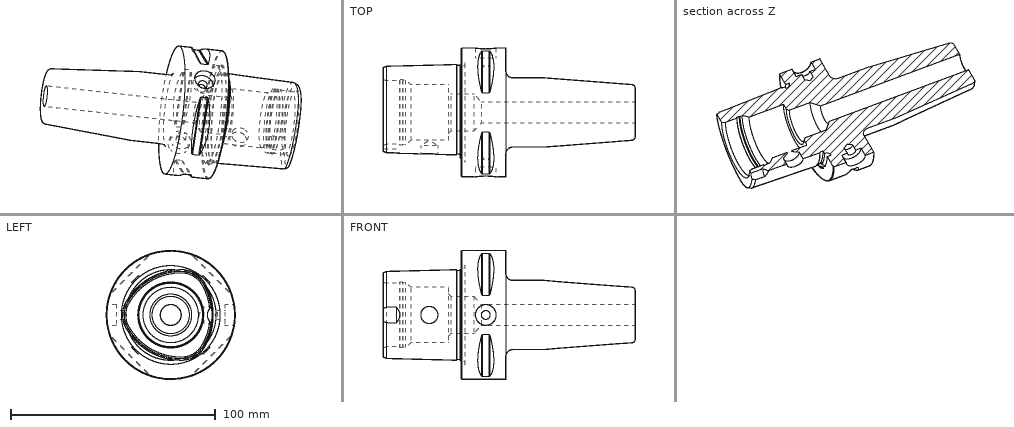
import cadquery as cq
import math


total_length = 123.0
shank_end = 35.7
neck_end = 37.5
flange_start = 38.0
flange_width = 21.9
flange_end = flange_start + flange_width
nose_cone_start = 78.4

shank_half_width = 22.1
lobe_offset = 10.2
shank_slope = 1 / 40
neck_inset = 0.4
tip_chamfer_length = 1.6
tip_chamfer_depth = 0.7
collar_radius = 22.1

flange_radius = 31.5
flange_chamfer = 0.4
recess_radius = 24.1
recess_depth = recess_radius - collar_radius
relief_distance = 24.7
relief_width = 4.7
relief_depth = 0.5
gripper_x = 50.0
slot_floor_distance = 27.9
slot_floor_width = 3.1
slot_bevel_width = 0.5
slot_bevel_height = 0.2
slot_wall_angle = 30.0
flange_root_fillet = 3.2
quarter_angles = (45, 135, 225, 315)

nose_radius = 17.0
nose_tip_radius = 13.5
nose_tip_fillet = 1.8

side_hole_radius = 5.0
side_hole_depth = 4.9
side_pilot_radius = 2.15
side_pilot_depth = 3.7
shank_hole_x = 22.5
shank_hole_radius = 4.2
shank_hole_bottom = 16.1
tip_notch_radius = 4.8
tip_notch_distance = 22.6
tip_notch_length = 6.4
tip_notch_half_angle = 50.0
drill_half_angle = 59.0

bore_profile = [
    (0.0, 16.1),
    (1.7, 15.5),
    (7.9, 15.5),
    (8.1, 16.0),
    (9.3, 16.0),
    (9.7, 15.7),
    (10.8, 15.7),
    (11.6, 15.4),
    (13.5, 13.5),
    (32.0, 13.5),
    (32.0, 10.2),
    (33.1, 9.1),
    (44.3, 9.1),
    (48.0, 5.0),
    (total_length, 5.0),
]


def revolve_about_x(profile):
    """Solid of revolution about X from a chain of (x, radius) points."""
    points = [(profile[0][0], 0)] + profile + [(profile[-1][0], 0)]
    return cq.Workplane("XY").polyline(points).close().revolve(360, (0, 0, 0), (1, 0, 0))


def polar(radius, angle):
    """Point in the YZ plane, with the angle measured from +Y toward +Z."""
    return radius * math.cos(math.radians(angle)), radius * math.sin(math.radians(angle))


def lobed_outline(x, half_width):
    """Constant-width outline of six tangent arcs, with lobes at 0, 120 and 240 degrees."""
    centre_spacing = lobe_offset * math.sqrt(3)
    small_radius = half_width - centre_spacing / 2
    large_radius = half_width + centre_spacing / 2

    def on_arc(lobe_angle, radius, direction):
        centre_y, centre_z = polar(lobe_offset, lobe_angle)
        step_y, step_z = polar(radius, direction)
        return centre_y + step_y, centre_z + step_z

    outline = cq.Workplane("YZ", origin=(x, 0, 0)).moveTo(*on_arc(0, small_radius, -30))
    for lobe in (0, 120, 240):
        flat = lobe + 60
        outline = outline.threePointArc(
            on_arc(lobe, small_radius, lobe), on_arc(lobe, small_radius, lobe + 30)
        )
        outline = outline.threePointArc(
            on_arc(flat + 180, large_radius, flat), on_arc(flat + 180, large_radius, flat + 30)
        )
    return outline.close()


def lobed_prism(x_start, x_end, half_width_start, half_width_end):
    """Straight or tapered length of the three-lobed section."""
    start_outline = lobed_outline(x_start, half_width_start).val()
    end_outline = lobed_outline(x_end, half_width_end).val()
    return cq.Workplane(cq.Solid.makeLoft([start_outline, end_outline], True))


def drill(origin, direction, radius, depth, half_angle=drill_half_angle):
    """Round cutter with a conical drill point beyond its full-diameter depth."""
    point_length = radius / math.tan(math.radians(half_angle))
    start = cq.Vector(*origin)
    axis = cq.Vector(*direction)
    barrel = cq.Solid.makeCylinder(radius, depth, start, axis)
    point = cq.Solid.makeCone(radius, 0, point_length, start + axis * depth, axis)
    return cq.Workplane(barrel).union(cq.Workplane(point))


def make_shank():
    """Tapered three-lobed shank with a chamfered tip and a bevelled, inset neck."""
    chamfer_half_width = shank_half_width - shank_slope * (shank_end - tip_chamfer_length)
    tip = lobed_prism(0, tip_chamfer_length, chamfer_half_width - tip_chamfer_depth, chamfer_half_width)
    taper = lobed_prism(tip_chamfer_length, shank_end, chamfer_half_width, shank_half_width)
    neck_half_width = shank_half_width - neck_inset
    neck_start = shank_end + neck_inset
    bevel = lobed_prism(shank_end, neck_start, shank_half_width, neck_half_width)
    neck = lobed_prism(neck_start, neck_end, neck_half_width, neck_half_width)
    return tip.union(taper).union(bevel).union(neck)


def make_body():
    """Round parts behind the shank: collar, recessed flange, filleted root and tapered nose."""
    collar = revolve_about_x([(neck_end, collar_radius), (flange_end, collar_radius)])
    flange = revolve_about_x([
        (flange_start, flange_radius - flange_chamfer),
        (flange_start + flange_chamfer, flange_radius),
        (flange_end, flange_radius),
    ])
    nose = revolve_about_x([
        (flange_start, nose_radius),
        (nose_cone_start, nose_radius),
        (total_length, nose_tip_radius),
    ]).faces(">X").edges().fillet(nose_tip_fillet)
    root = (
        cq.Workplane("XY")
        .moveTo(flange_end, nose_radius)
        .lineTo(flange_end, nose_radius + flange_root_fillet)
        .radiusArc((flange_end + flange_root_fillet, nose_radius), -flange_root_fillet)
        .close()
        .revolve(360, (0, 0, 0), (1, 0, 0))
    )
    return collar.union(flange.cut(make_recess())).union(nose).union(root)


def make_recess():
    """Ring recess in the flange face, rounded up to the collar, with four flat reliefs."""
    floor_x = flange_start + recess_depth
    ring = (
        cq.Workplane("XY")
        .moveTo(flange_start, collar_radius)
        .radiusArc((floor_x, recess_radius), -recess_depth)
        .lineTo(flange_start, recess_radius)
        .close()
        .revolve(360, (0, 0, 0), (1, 0, 0))
    )
    relief_bottom = collar_radius + recess_depth / 2
    relief_height = relief_distance - relief_bottom
    for angle in quarter_angles:
        relief = (
            cq.Workplane("XY")
            .box(relief_depth, relief_height, relief_width, centered=(False, False, True))
            .translate((flange_start, relief_bottom, 0))
            .rotate((0, 0, 0), (1, 0, 0), angle)
        )
        ring = ring.union(relief)
    return ring


def make_gripper_slot(angle):
    """Straight slot across the flange with a flat floor, bevelled corners and sloping side walls."""
    wall_foot = slot_floor_distance + slot_bevel_height
    half_floor = slot_floor_width / 2
    half_foot = half_floor + slot_bevel_width
    half_mouth = half_foot + (flange_radius - wall_foot) * math.tan(math.radians(slot_wall_angle))
    half_section = [
        (half_floor, slot_floor_distance),
        (half_foot, wall_foot),
        (half_mouth, flange_radius),
    ]
    section = [(gripper_x + x, y) for x, y in half_section]
    section += [(gripper_x - x, y) for x, y in reversed(half_section)]
    return (
        cq.Workplane("XY")
        .polyline(section)
        .close()
        .extrude(flange_radius, both=True)
        .rotate((0, 0, 0), (1, 0, 0), angle)
    )


def make_side_hole(side):
    """Flat-bottomed hole at the +Y or -Y side of the flange, with a smaller drilled pilot."""
    inward = (0, -side, 0)
    mouth = cq.Vector(gripper_x, side * flange_radius, 0)
    pilot_start = (gripper_x, side * (flange_radius - side_hole_depth), 0)
    main = cq.Solid.makeCylinder(side_hole_radius, side_hole_depth, mouth, cq.Vector(*inward))
    return cq.Workplane(main).union(drill(pilot_start, inward, side_pilot_radius, side_pilot_depth))


def make_shank_hole():
    """Blind drilled hole in the -Y flat of the shank."""
    start = (shank_hole_x, -shank_half_width, 0)
    return drill(start, (0, 1, 0), shank_hole_radius, shank_half_width - shank_hole_bottom)


def make_tip_notch():
    """Drilled notch along X, open at the shank tip and through the -Y flat."""
    start = (0, -tip_notch_distance, 0)
    return drill(start, (1, 0, 0), tip_notch_radius, tip_notch_length, tip_notch_half_angle)


result = make_shank().union(make_body())
result = result.cut(revolve_about_x(bore_profile))

for slot_angle in quarter_angles:
    result = result.cut(make_gripper_slot(slot_angle))

for side in (-1, 1):
    result = result.cut(make_side_hole(side))

result = result.cut(make_shank_hole()).cut(make_tip_notch())